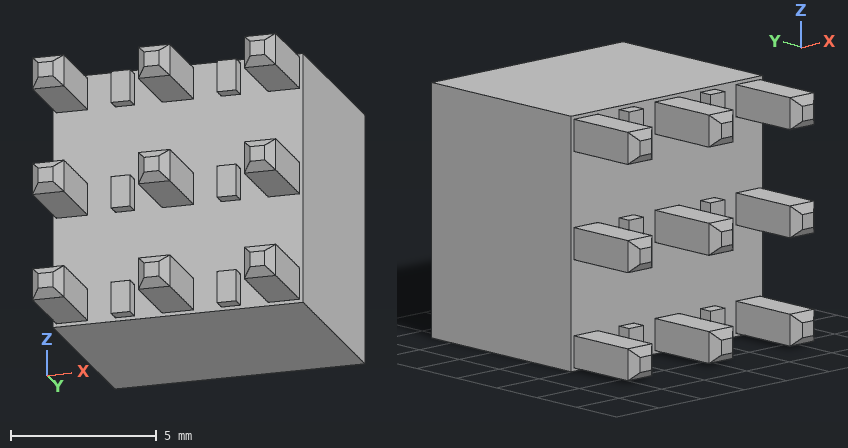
import cadquery as cq

housing_side = 9.0
housing_depth = 7.0

pin_pitch = 3.81
pins_per_row = 3
pin_width = 1.13
pin_length = 3.0
tip_chamfer = 0.3

pad_width = 0.68
pad_height = pin_width
pad_length = 0.5


def centred_positions(count):
    """Positions of items one pin pitch apart, centred on zero."""
    return [(i - (count - 1) / 2) * pin_pitch for i in range(count)]


def pin_side():
    """Workplane on the pin side of the housing; positive extrusions point to -Y."""
    return cq.Workplane("XZ")


def make_housing():
    return pin_side().rect(housing_side, housing_side).extrude(-housing_depth)


def make_pins(points):
    pins = pin_side().pushPoints(points).rect(pin_width, pin_width).extrude(pin_length)
    return pins.faces("<Y").chamfer(tip_chamfer)


def make_pads(points):
    return pin_side().pushPoints(points).rect(pad_width, pad_height).extrude(pad_length)


pin_positions = centred_positions(pins_per_row)
pad_positions = centred_positions(pins_per_row - 1)
pin_points = [(x, z) for x in pin_positions for z in pin_positions]
pad_points = [(x, z) for x in pad_positions for z in pin_positions]

result = make_housing().union(make_pins(pin_points)).union(make_pads(pad_points))